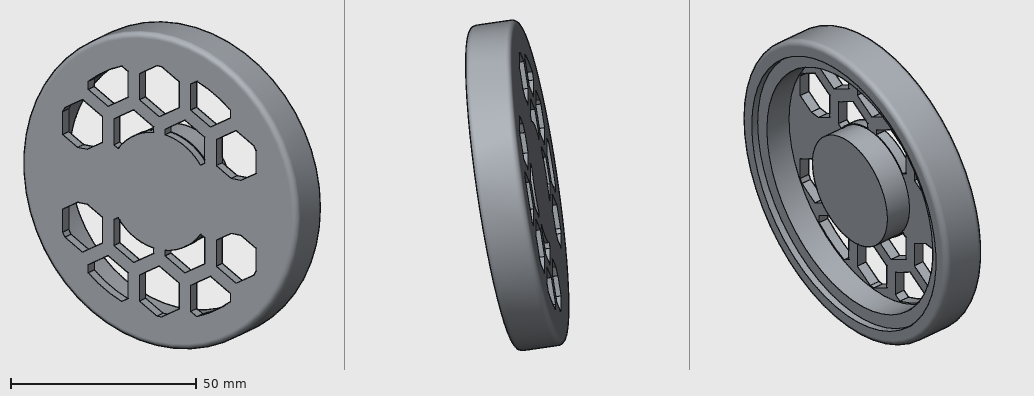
import cadquery as cq
import math

disc_diameter = 88.9
disc_depth = 12.7
edge_radius = 1.6

plate_thickness = 3.0
rim_inner_radius = 36.0
hub_radius = 16.3

windows_outer_radius = 35.6
windows_inner_radius = 16.5

recess_depth = 2.05
recess_radius = 40.0

hexagon_side = 7.4
rib_width = 3.7
solid_band_half_height = 7.8

hexagon_width = hexagon_side * math.sqrt(3)
column_pitch = hexagon_width + rib_width
row_pitch = column_pitch * math.sqrt(3) / 2
hexagon_rows = (-2, -1, 1, 2)
hexagon_columns = (-2, -1, 0, 1, 2)

front_y = -disc_depth / 2
back_y = disc_depth / 2
plate_back_y = front_y + plate_thickness


def ring(outer_radius, inner_radius, start_y, depth):
    """Ring around the disc axis, running from start_y toward +Y."""
    return (
        cq.Workplane("XZ", origin=(0, start_y, 0))
        .circle(outer_radius)
        .circle(inner_radius)
        .extrude(-depth)
    )


def hexagon_centers():
    """Honeycomb centers; odd rows are shifted by half a column."""
    centers = []
    for row in hexagon_rows:
        shift = column_pitch / 2 if row % 2 else 0
        for column in hexagon_columns:
            centers.append((column * column_pitch + shift, row * row_pitch))
    return centers


def disc_body():
    disc = cq.Workplane("XZ", origin=(0, front_y, 0)).circle(disc_diameter / 2).extrude(-disc_depth)
    return disc.faces("<Y or >Y").edges().fillet(edge_radius)


def honeycomb_windows():
    """Hexagons with corners up and down, trimmed by the hub, the rim and the solid band."""
    corner_angles = [math.radians(30 + 60 * corner) for corner in range(6)]
    hexagons = cq.Workplane("XZ", origin=(0, front_y, 0))
    for center_x, center_z in hexagon_centers():
        corners = [
            (center_x + hexagon_side * math.cos(angle), center_z + hexagon_side * math.sin(angle))
            for angle in corner_angles
        ]
        hexagons = hexagons.polyline(corners).close()
    solid_band = cq.Workplane("XY").box(disc_diameter, disc_depth, 2 * solid_band_half_height)
    windows_ring = ring(windows_outer_radius, windows_inner_radius, front_y, plate_thickness)
    window_limits = windows_ring.cut(solid_band)
    return hexagons.extrude(-plate_thickness).intersect(window_limits)


def back_hollow():
    return ring(rim_inner_radius, hub_radius, plate_back_y, disc_depth - plate_thickness)


def back_recess():
    return (
        cq.Workplane("XZ", origin=(0, back_y - recess_depth, 0))
        .circle(recess_radius)
        .extrude(-recess_depth)
    )


result = disc_body().cut(back_hollow()).cut(back_recess()).cut(honeycomb_windows())